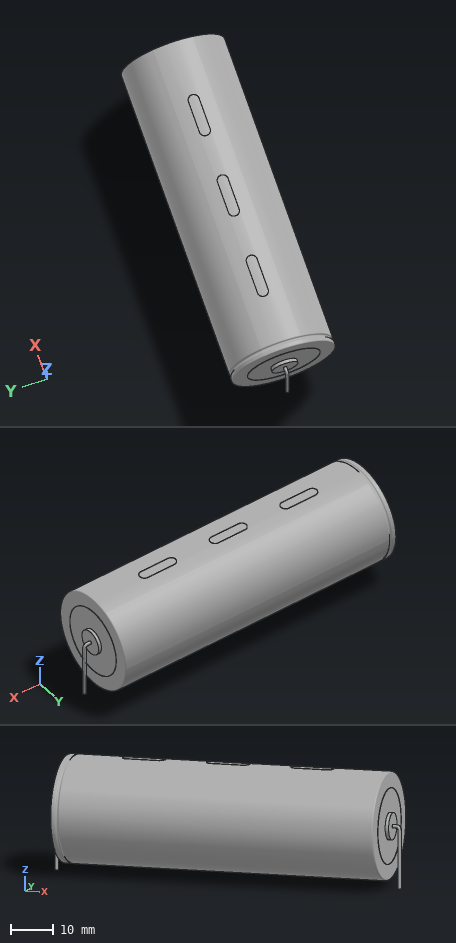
import cadquery as cq
import math

BODY_LENGTH = 80.1
BODY_RADIUS = 13.01
BODY_HALF = BODY_LENGTH / 2
RIM_FILLET = 0.35

GROOVE_X = 1.6 - BODY_HALF
GROOVE_RADIUS = 0.35
SHOULDER_FILLET = 0.35

RECESS_RADIUS = 9.1
RECESS_DEPTH = 0.1
RECESS_X = BODY_HALF - RECESS_DEPTH

BOSS_DIAMETER = 6.5
BOSS_HEIGHT = 0.8

TOTAL_LENGTH = 85.9
LEAD_DIAMETER = 0.9
LEAD_BEND_RADIUS = 0.9
LEAD_X = (TOTAL_LENGTH - LEAD_DIAMETER) / 2
LEAD_BOTTOM_Z = -14.95

STRIP_ANGLE = 45

MARK_LENGTH = 10.6
MARK_WIDTH = 2.7
MARK_PITCH = 20.9
MARK_COUNT = 3
MARK_DEPTH = 0.1


def x_cylinder(radius, x_start, x_end):
    return cq.Workplane("YZ", origin=(x_start, 0, 0)).circle(radius).extrude(x_end - x_start)


def make_can():
    """Cylinder with rounded rims, the rolled groove and both end recesses."""
    center_distance = GROOVE_RADIUS + SHOULDER_FILLET
    groove_half = math.sqrt(center_distance**2 - SHOULDER_FILLET**2)
    bottom_half = groove_half * GROOVE_RADIUS / center_distance
    shoulder_end_r = BODY_RADIUS - SHOULDER_FILLET * GROOVE_RADIUS / center_distance
    rim_r = BODY_RADIUS - RIM_FILLET
    rim_x = BODY_HALF - RIM_FILLET

    can = (
        cq.Workplane("XY")
        .moveTo(-BODY_HALF, 0)
        .lineTo(-BODY_HALF, rim_r)
        .radiusArc((-rim_x, BODY_RADIUS), RIM_FILLET)
        .lineTo(GROOVE_X - groove_half, BODY_RADIUS)
        .radiusArc((GROOVE_X - bottom_half, shoulder_end_r), SHOULDER_FILLET)
        .radiusArc((GROOVE_X + bottom_half, shoulder_end_r), -GROOVE_RADIUS)
        .radiusArc((GROOVE_X + groove_half, BODY_RADIUS), SHOULDER_FILLET)
        .lineTo(rim_x, BODY_RADIUS)
        .radiusArc((BODY_HALF, rim_r), RIM_FILLET)
        .lineTo(BODY_HALF, 0)
        .close()
        .revolve(360, (0, 0, 0), (1, 0, 0))
    )
    can = can.cut(x_cylinder(RECESS_RADIUS, -BODY_HALF, -RECESS_X))
    return can.cut(x_cylinder(RECESS_RADIUS, RECESS_X, BODY_HALF))


def make_strip(can):
    """The part of the sleeve that lies in the strip's sector."""
    wedge_height = 2 * BODY_RADIUS
    wedge_half_width = wedge_height * math.tan(math.radians(STRIP_ANGLE / 2))
    wedge = (
        cq.Workplane("YZ", origin=(-BODY_HALF, 0, 0))
        .polyline([(0, 0), (wedge_half_width, wedge_height), (-wedge_half_width, wedge_height)])
        .close()
        .extrude(BODY_LENGTH)
    )
    core = x_cylinder(RECESS_RADIUS, -BODY_HALF, BODY_HALF)
    return can.intersect(wedge).cut(core)


def make_marks():
    """Slot-shaped cutters that follow the curved surface at a constant depth."""
    slots = (
        cq.Workplane("XY")
        .rarray(MARK_PITCH, 0.9, MARK_COUNT, 1)
        .slot2D(MARK_LENGTH, MARK_WIDTH)
        .extrude(2 * BODY_RADIUS)
    )
    return slots.cut(x_cylinder(BODY_RADIUS - MARK_DEPTH, -BODY_HALF, BODY_HALF))


def make_terminal(side):
    """Seal boss and its bent wire; side is -1 or +1."""
    boss_top = BODY_HALF + BOSS_HEIGHT
    boss = x_cylinder(BOSS_DIAMETER / 2, side * RECESS_X, side * boss_top)
    path = (
        cq.Workplane("XZ")
        .moveTo(side * RECESS_X, 0)
        .lineTo(side * (LEAD_X - LEAD_BEND_RADIUS), 0)
        .tangentArcPoint((side * LEAD_X, -LEAD_BEND_RADIUS), relative=False)
        .lineTo(side * LEAD_X, LEAD_BOTTOM_Z)
    )
    wire_start = cq.Workplane("YZ", origin=(side * RECESS_X, 0, 0))
    return boss.union(wire_start.circle(LEAD_DIAMETER / 2).sweep(path))


can = make_can()
result = can.union(make_terminal(-1)).union(make_terminal(1))
result = result.union(make_strip(can), clean=False)
result = result.cut(make_marks(), clean=False)